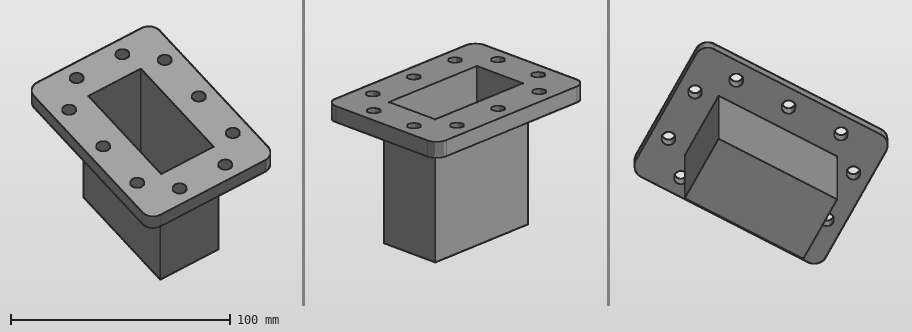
import cadquery as cq

flange_length = 98.4
flange_width = 69.9
flange_thickness = 8.0
corner_radius = 6.0

total_height = 70.0
wall = 1.7
opening_length = 58.1
opening_width = 29.1
tube_length = opening_length + 2 * wall
tube_width = opening_width + 2 * wall
floor_thickness = wall

hole_diameter = 6.3
long_row_pitch = 27.2
long_row_offset = 26.6
short_row_half_pitch = 12.7
short_row_offset = 41.0


def block(length, width, bottom, top):
    """Box centred on the Z axis between two heights."""
    return (
        cq.Workplane("XY")
        .workplane(offset=bottom)
        .rect(length, width)
        .extrude(top - bottom)
    )


flange_bottom = total_height - flange_thickness
flange = block(flange_length, flange_width, flange_bottom, total_height)
flange = flange.edges("|Z").fillet(corner_radius)
tube = block(tube_length, tube_width, 0, flange_bottom)
cavity = block(opening_length, opening_width, floor_thickness, total_height)

hole_centres = []
for side in (-1, 1):
    for step in (-1, 0, 1):
        hole_centres.append((step * long_row_pitch, side * long_row_offset))
    for end in (-1, 1):
        hole_centres.append((side * short_row_offset, end * short_row_half_pitch))

bolt_holes = (
    cq.Workplane("XY")
    .workplane(offset=flange_bottom)
    .pushPoints(hole_centres)
    .circle(hole_diameter / 2)
    .extrude(flange_thickness)
)

result = flange.union(tube).cut(cavity).cut(bolt_holes)